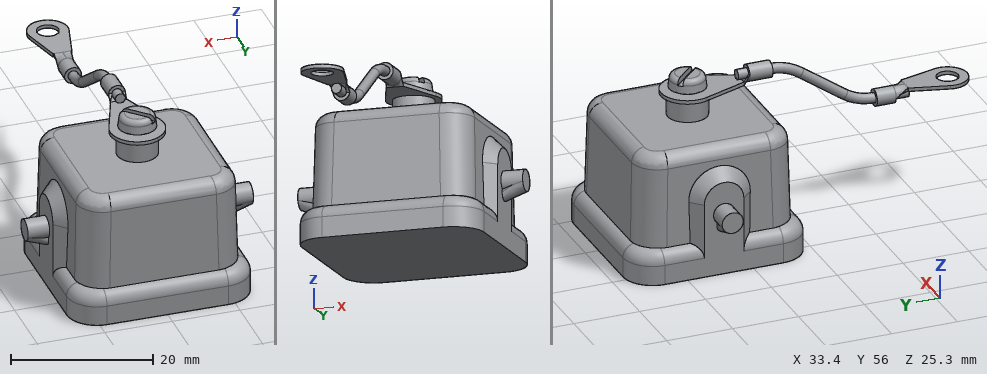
import cadquery as cq
import math

overall_width = 33.4
overall_length = 56.0

base_size = 27.0
base_height = 5.0
base_corner_radius = 4.5
edge_radius = 2.0

hood_foot_size = 24.2
hood_top_size = 23.3
hood_corner_radius = 3.9
hood_top = 19.0

boss_face = base_size / 2
boss_radius = 3.0
boss_center_z = 11.3
boss_depth = 3.0
boss_flare_angle = 45.0

pin_tip = overall_width / 2
pin_diameter = 3.2
pin_z = 9.4
pin_root_depth = 1.0
brace_root_radius = 1.1
brace_root_bottom = 6.6

post_diameter = 6.0
post_top = 22.35
neck_diameter = 4.1
head_bottom = 23.3
head_diameter = 5.5
head_shoulder_diameter = 5.2
head_top = 25.3
head_round = 0.8
slot_width = 0.8
slot_depth = 0.9
slot_angle = -45.0

tab_thickness = 0.55
ferrule_diameter = 2.5
rope_diameter = 1.5
rope_bend_radius = 8.0
trough_wrap = 100.0

upper_eye_radius = 4.0
upper_tab_end = -8.1
upper_tab_half_width = ferrule_diameter / 2
upper_ferrule_start = -9.0
upper_ferrule_end = -12.5
rope_upper_end = -7.45
upper_rope_z = post_top + ferrule_diameter / 2

lower_eye_radius = 3.0
lower_eye_hole = 3.2
lower_eye_y = base_size / 2 - overall_length + lower_eye_radius
lower_tab_top = 17.3
lower_tab_end = -33.0
lower_tab_half_width = 1.4
lower_ferrule_start = -28.35
lower_ferrule_end = -31.2
rope_lower_end = -33.4
lower_rope_z = lower_tab_top - ferrule_diameter / 2


def rounded_square(size, radius):
    return cq.Sketch().rect(size, size).vertices().fillet(radius)


def make_base():
    """Square foot with round corners and a rounded upper edge."""
    outline = cq.Workplane("XY").placeSketch(rounded_square(base_size, base_corner_radius))
    block = outline.extrude(base_height)
    return block.faces(">Z").edges().fillet(edge_radius)


def make_hood():
    """Slightly drafted upper body with a rounded top edge."""
    foot = rounded_square(hood_foot_size, hood_corner_radius)
    top = rounded_square(hood_top_size, hood_corner_radius)
    raised_top = top.moved(cq.Location(cq.Vector(0, 0, hood_top)))
    hood = cq.Workplane("XY").placeSketch(foot, raised_top).loft(ruled=True)
    return hood.faces(">Z").edges().fillet(edge_radius)


def make_side_boss():
    """Arched pad on the -X side, flush with the base and flaring toward the hood."""
    skirt_z = base_height - edge_radius
    return (
        cq.Workplane("YZ", origin=(-boss_face, 0, 0))
        .moveTo(-boss_radius, skirt_z)
        .lineTo(boss_radius, skirt_z)
        .lineTo(boss_radius, boss_center_z)
        .threePointArc((0, boss_center_z + boss_radius), (-boss_radius, boss_center_z))
        .close()
        .extrude(boss_depth, taper=-boss_flare_angle)
    )


def make_side_pin():
    """Locking pin on the -X side with a sloping brace under it."""
    length = pin_tip - boss_face
    tip_plane = cq.Workplane("YZ", origin=(-pin_tip, 0, pin_z))
    pin = tip_plane.circle(pin_diameter / 2).extrude(length + pin_root_depth)
    brace_drop = pin_z - brace_root_bottom - brace_root_radius
    brace = (
        tip_plane.circle(pin_diameter / 2)
        .workplane(offset=length)
        .center(0, -brace_drop)
        .circle(brace_root_radius)
        .loft(ruled=True)
    )
    return pin.union(brace)


def make_stud():
    """Post, neck and round head turned about Z, with a diagonal screwdriver slot."""
    shoulder_radius = head_shoulder_diameter / 2
    shoulder_z = head_top - head_round
    arc_inset = head_round * (1 - math.cos(math.radians(45)))
    profile = (
        cq.Workplane("XZ")
        .moveTo(0, hood_top - edge_radius)
        .lineTo(post_diameter / 2, hood_top - edge_radius)
        .lineTo(post_diameter / 2, post_top)
        .lineTo(neck_diameter / 2, post_top)
        .lineTo(neck_diameter / 2, head_bottom)
        .lineTo(head_diameter / 2, head_bottom)
        .lineTo(shoulder_radius, shoulder_z)
        .threePointArc(
            (shoulder_radius - arc_inset, head_top - arc_inset),
            (shoulder_radius - head_round, head_top),
        )
        .lineTo(0, head_top)
        .close()
    )
    stud = profile.revolve(360, (0, 0, 0), (0, 1, 0))
    slot = (
        cq.Workplane("XY", origin=(0, 0, head_top - slot_depth))
        .transformed(rotate=(0, 0, slot_angle))
        .rect(2 * head_diameter, slot_width)
        .extrude(2 * slot_depth)
    )
    return stud.cut(slot)


def make_housing():
    housing = make_base().union(make_hood())
    side = make_side_boss().union(make_side_pin())
    for turn in (0, 180):
        housing = housing.union(side.rotate((0, 0, 0), (0, 0, 1), turn))
    return housing.union(make_stud())


def make_eye_tab(center_y, eye_radius, hole_diameter, end_y, end_half_width, bottom_z):
    """Flat teardrop: a round eye with straight sides tangent to it, running to a narrow end."""
    toward_end = math.copysign(1, end_y - center_y)
    reach = abs(end_y - center_y)
    corner_angle = math.atan2(reach, end_half_width)
    tangent_angle = corner_angle - math.acos(eye_radius / math.hypot(reach, end_half_width))
    tangent_x = eye_radius * math.cos(tangent_angle)
    tangent_y = center_y + toward_end * eye_radius * math.sin(tangent_angle)
    return (
        cq.Workplane("XY", origin=(0, 0, bottom_z))
        .moveTo(-end_half_width, end_y)
        .lineTo(end_half_width, end_y)
        .lineTo(tangent_x, tangent_y)
        .threePointArc((0, center_y - toward_end * eye_radius), (-tangent_x, tangent_y))
        .close()
        .moveTo(0, center_y)
        .circle(hole_diameter / 2)
        .extrude(tab_thickness)
    )


def make_ferrule(start_y, end_y, axis_z):
    """Crimp sleeve around the rope, running along Y."""
    axis_plane = cq.Workplane("XZ", origin=(0, max(start_y, end_y), axis_z))
    return axis_plane.circle(ferrule_diameter / 2).extrude(abs(end_y - start_y))


def make_trough(ferrule_y, tab_end, axis_z, tab_side):
    """Strip that curls from the flat tab into a trough around the rope.

    tab_side is -1 for a tab below the rope axis and 1 for a tab above it.
    """
    outer_radius = ferrule_diameter / 2
    inner_radius = outer_radius - tab_thickness

    outer_z = axis_z + tab_side * outer_radius
    inner_z = axis_z + tab_side * inner_radius

    def curl_point(radius, angle):
        return cq.Vector(radius * math.sin(angle), ferrule_y, axis_z + tab_side * radius * math.cos(angle))

    def curl_arc(radius, start_angle, end_angle):
        middle_angle = (start_angle + end_angle) / 2
        return cq.Edge.makeThreePointArc(
            curl_point(radius, start_angle), curl_point(radius, middle_angle), curl_point(radius, end_angle)
        )

    wrap = math.radians(trough_wrap)
    curled_end = cq.Wire.assembleEdges([
        curl_arc(outer_radius, 0, wrap),
        cq.Edge.makeLine(curl_point(outer_radius, wrap), curl_point(inner_radius, wrap)),
        curl_arc(inner_radius, wrap, 0),
        cq.Edge.makeLine(curl_point(inner_radius, 0), curl_point(outer_radius, 0)),
    ])
    flat_end = cq.Wire.makePolygon(
        [
            cq.Vector(0, tab_end, outer_z),
            cq.Vector(outer_radius, tab_end, outer_z),
            cq.Vector(outer_radius, tab_end, inner_z),
            cq.Vector(0, tab_end, inner_z),
        ],
        close=True,
    )
    half = cq.Workplane(cq.Solid.makeLoft([curled_end, flat_end], True))
    return half.union(half.mirror("YZ"))


def make_rope():
    """Round rope in the YZ plane: straight end, bend, sloping run, reverse bend, straight end."""
    run = upper_ferrule_end - lower_ferrule_start
    drop = upper_rope_z - lower_rope_z
    center_rise = 2 * rope_bend_radius - drop
    slope_length = math.sqrt(run**2 + center_rise**2 - (2 * rope_bend_radius) ** 2)
    slope = math.atan2(2 * rope_bend_radius, slope_length) - math.atan2(center_rise, run)

    def upper_bend(angle):
        return (
            upper_ferrule_end - rope_bend_radius * math.sin(angle),
            upper_rope_z - rope_bend_radius * (1 - math.cos(angle)),
        )

    def lower_bend(angle):
        return (
            lower_ferrule_start + rope_bend_radius * math.sin(angle),
            lower_rope_z + rope_bend_radius * (1 - math.cos(angle)),
        )

    path = (
        cq.Workplane("YZ")
        .moveTo(rope_upper_end, upper_rope_z)
        .lineTo(upper_ferrule_end, upper_rope_z)
        .threePointArc(upper_bend(slope / 2), upper_bend(slope))
        .lineTo(*lower_bend(slope))
        .threePointArc(lower_bend(slope / 2), (lower_ferrule_start, lower_rope_z))
        .lineTo(rope_lower_end, lower_rope_z)
    )
    end_plane = cq.Workplane("XZ", origin=(0, rope_upper_end, upper_rope_z))
    return end_plane.circle(rope_diameter / 2).sweep(path)


def make_lanyard():
    upper_tab = make_eye_tab(
        0, upper_eye_radius, neck_diameter, upper_tab_end, upper_tab_half_width, post_top
    )
    lower_tab = make_eye_tab(
        lower_eye_y, lower_eye_radius, lower_eye_hole, lower_tab_end, lower_tab_half_width,
        lower_tab_top - tab_thickness,
    )
    upper_ferrule = make_ferrule(upper_ferrule_start, upper_ferrule_end, upper_rope_z)
    lower_ferrule = make_ferrule(lower_ferrule_start, lower_ferrule_end, lower_rope_z)
    upper_trough = make_trough(upper_ferrule_start, upper_tab_end, upper_rope_z, -1)
    lower_trough = make_trough(lower_ferrule_end, lower_tab_end, lower_rope_z, 1)
    lanyard = make_rope()
    for piece in (upper_ferrule, lower_ferrule, upper_trough, lower_trough, upper_tab, lower_tab):
        lanyard = lanyard.union(piece)
    return lanyard


housing = make_housing()
lanyard = make_lanyard()

result = cq.Compound.makeCompound([*housing.solids().vals(), *lanyard.solids().vals()])